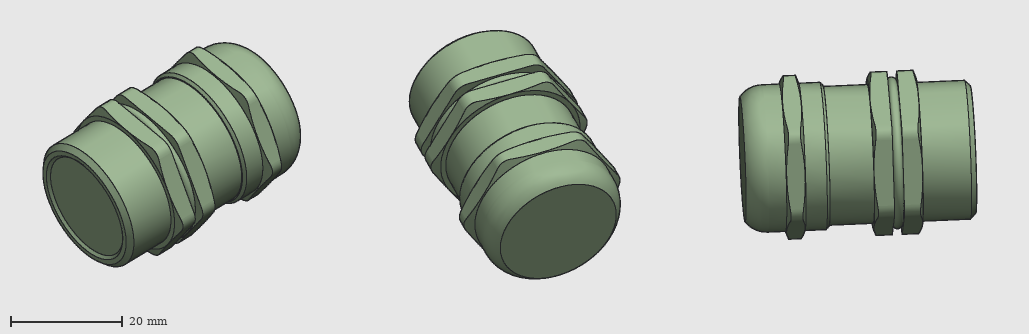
import cadquery as cq
import math

length = 41.45

body_radius = 25.0 / 2
body_chamfer = 1.0
recess_mouth_radius = 10.52
recess_floor_radius = 10.0
recess_depth = 0.55

hex_thickness = 3.5
across_flats = 26.97
hex_corner_radius = 2.9
hex_bevel_angle = 20.0

seal_thickness = 1.8
seal_radius = 27.3 / 2

cap_radius = 26.5 / 2
cap_length = 15.0
cap_chamfer = 0.55
cap_end_radius = 11.23
dome_length = 4.05

lock_nut_start = 9.75
seal_start = lock_nut_start + hex_thickness
body_hex_start = seal_start + seal_thickness
cap_start = length - cap_length
cap_hex_start = 30.8


def revolve_about_y(profile):
    """Turn a closed (radius, Y) profile around the Y axis."""
    return profile.close().revolve(360, (0, 0, 0), (0, 1, 0))


def make_body():
    """Cylinder chamfered at the open end, with a shallow tapered recess."""
    return revolve_about_y(
        cq.Workplane("XY")
        .moveTo(0, recess_depth)
        .lineTo(recess_floor_radius, recess_depth)
        .lineTo(recess_mouth_radius, 0)
        .lineTo(body_radius - body_chamfer, 0)
        .lineTo(body_radius, body_chamfer)
        .lineTo(body_radius, cap_start + cap_chamfer)
        .lineTo(0, cap_start + cap_chamfer)
    )


def make_cap():
    """Cap whose dome starts tangent to its side and ends in a flat face."""
    dome_inset = cap_radius - cap_end_radius
    dome_start = length - dome_length
    dome_arc_radius = (dome_length**2 + dome_inset**2) / (2 * dome_inset)
    half_sweep = math.asin(dome_length / dome_arc_radius) / 2
    dome_middle = (
        cap_radius - dome_arc_radius * (1 - math.cos(half_sweep)),
        dome_start + dome_arc_radius * math.sin(half_sweep),
    )
    return revolve_about_y(
        cq.Workplane("XY")
        .moveTo(0, cap_start)
        .lineTo(cap_radius - cap_chamfer, cap_start)
        .lineTo(cap_radius, cap_start + cap_chamfer)
        .lineTo(cap_radius, dome_start)
        .threePointArc(dome_middle, (cap_end_radius, length))
        .lineTo(0, length)
    )


def make_hexagon(start, bevel_front, bevel_back, bevel_inner_radius=across_flats / 2):
    """Hexagon with corners on X; its front is the face at the lower Y.

    A bevelled face is flat out to the bevel inner radius.
    """
    end = start + hex_thickness
    corner_diameter = across_flats / math.cos(math.pi / 6)
    outer_radius = corner_diameter / 2
    bevel_depth = (outer_radius - bevel_inner_radius) * math.tan(math.radians(hex_bevel_angle))

    blank = (
        cq.Workplane("XZ", origin=(0, start, 0))
        .polygon(6, corner_diameter)
        .extrude(-hex_thickness)
        .edges("|Y")
        .fillet(hex_corner_radius)
    )
    envelope = revolve_about_y(
        cq.Workplane("XY")
        .moveTo(0, start)
        .lineTo(bevel_inner_radius if bevel_front else outer_radius, start)
        .lineTo(outer_radius, start + bevel_depth)
        .lineTo(outer_radius, end - bevel_depth)
        .lineTo(bevel_inner_radius if bevel_back else outer_radius, end)
        .lineTo(0, end)
    )
    return blank.intersect(envelope)


def make_seal():
    """Ring with a full-round outer edge."""
    end = seal_start + seal_thickness
    straight_radius = seal_radius - seal_thickness / 2
    return revolve_about_y(
        cq.Workplane("XY")
        .moveTo(0, seal_start)
        .lineTo(straight_radius, seal_start)
        .threePointArc((seal_radius, (seal_start + end) / 2), (straight_radius, end))
        .lineTo(0, end)
    )


result = (
    make_body()
    .union(make_cap())
    .union(make_seal())
    .union(make_hexagon(lock_nut_start, bevel_front=True, bevel_back=False))
    .union(make_hexagon(body_hex_start, bevel_front=False, bevel_back=True))
    .union(make_hexagon(cap_hex_start, bevel_front=True, bevel_back=True, bevel_inner_radius=cap_radius))
)